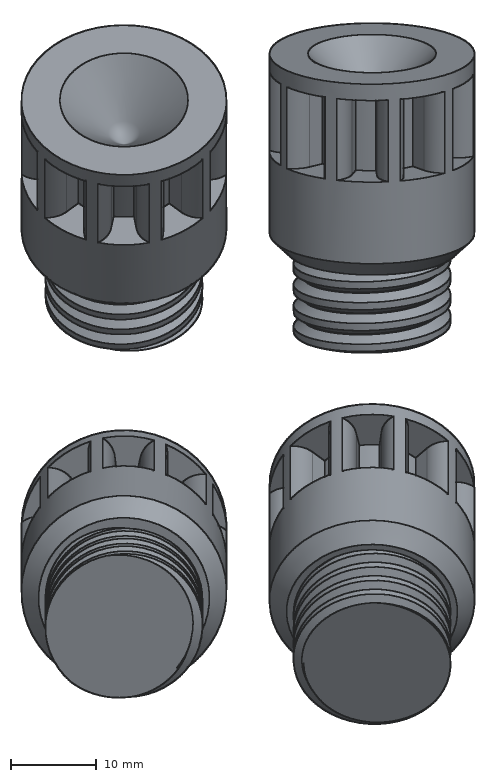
import cadquery as cq
import math

total_height = 34.0
body_diameter = 24.0
body_radius = body_diameter / 2

stud_height = 10.0
thread_major_diameter = 18.4
thread_minor_diameter = 15.95
thread_pitch = 2.55
crest_width = 0.9
root_width = 0.1
first_crest_z = 0.68

collar_height = 2.0
collar_base_diameter = body_diameter - 2 * collar_height
cap_height = 2.0

pocket_count = 10
pocket_height = 10.0
core_radius = 7.5
wall_end_radius = 9.5
flare_radius = 3.2
pocket_pitch_angle = 360 / pocket_count
wall_half_angle = pocket_pitch_angle / 4
first_pocket_angle = -90

cone_diameter = 15.0
cone_depth = cone_diameter / 2

pocket_floor_z = total_height - cap_height - pocket_height


def polar(radius, angle):
    """Point at a radius and an angle in degrees."""
    return (radius * math.cos(math.radians(angle)), radius * math.sin(math.radians(angle)))


def make_body():
    """Collar, barrel and cap turned about Z."""
    collar_top_z = stud_height + collar_height
    profile = [
        (0, stud_height),
        (collar_base_diameter / 2, stud_height),
        (body_radius, collar_top_z),
        (body_radius, total_height),
        (cone_diameter / 2, total_height),
        (0, total_height - cone_depth),
    ]
    return cq.Workplane("XZ").polyline(profile).close().revolve(360, (0, 0), (0, 1))


def make_pocket():
    """Pocket centred on +X: radial walls that flare outward along tangent arcs."""
    wall_x, wall_y = polar(wall_end_radius, wall_half_angle)
    to_centre_x, to_centre_y = polar(flare_radius, wall_half_angle + 90)
    centre_x = wall_x + to_centre_x
    centre_y = wall_y + to_centre_y

    arc_turn = 75
    start_angle = wall_half_angle - 90
    mid_x, mid_y = polar(flare_radius, start_angle + arc_turn / 2)
    end_x, end_y = polar(flare_radius, start_angle + arc_turn)
    mid = (centre_x + mid_x, centre_y + mid_y)
    end = (centre_x + end_x, centre_y + end_y)
    inner = polar(core_radius, wall_half_angle)

    outer_x = 2 * body_radius
    return (
        cq.Workplane("XY", origin=(0, 0, pocket_floor_z))
        .moveTo(inner[0], inner[1])
        .lineTo(wall_x, wall_y)
        .threePointArc(mid, end)
        .lineTo(outer_x, end[1])
        .lineTo(outer_x, -end[1])
        .lineTo(end[0], -end[1])
        .threePointArc((mid[0], -mid[1]), (wall_x, -wall_y))
        .lineTo(inner[0], -inner[1])
        .threePointArc((core_radius, 0), inner)
        .close()
        .extrude(pocket_height)
    )


def make_stud():
    """Core with a right-hand helical ridge, both cut flat at the ends of the stud."""
    major_radius = thread_major_diameter / 2
    minor_radius = thread_minor_diameter / 2
    overlap = 0.1
    base_width = thread_pitch - root_width
    flank_slope = (base_width - crest_width) / 2 / (major_radius - minor_radius)
    foot_half = base_width / 2 + flank_slope * overlap

    start_z = first_crest_z - 2 * thread_pitch
    ridge_length = stud_height + 4 * thread_pitch
    helix = cq.Wire.makeHelix(thread_pitch, ridge_length, minor_radius)
    ridge = (
        cq.Workplane("XZ")
        .polyline(
            [
                (minor_radius - overlap, -foot_half),
                (major_radius, -crest_width / 2),
                (major_radius, crest_width / 2),
                (minor_radius - overlap, foot_half),
            ]
        )
        .close()
        .sweep(cq.Workplane(obj=helix), isFrenet=True)
        .rotate((0, 0, 0), (0, 0, 1), 180)
        .translate((0, 0, start_z))
    )
    long_core = (
        cq.Workplane("XY", origin=(0, 0, start_z - thread_pitch))
        .circle(minor_radius)
        .extrude(ridge_length + 2 * thread_pitch)
    )
    stud_slab = cq.Workplane("XY").rect(body_diameter, body_diameter).extrude(stud_height)
    return long_core.union(ridge).intersect(stud_slab)


body = make_body()
pocket = make_pocket()
for index in range(pocket_count):
    angle = first_pocket_angle + index * pocket_pitch_angle
    body = body.cut(pocket.rotate((0, 0, 0), (0, 0, 1), angle))

result = body.union(make_stud())